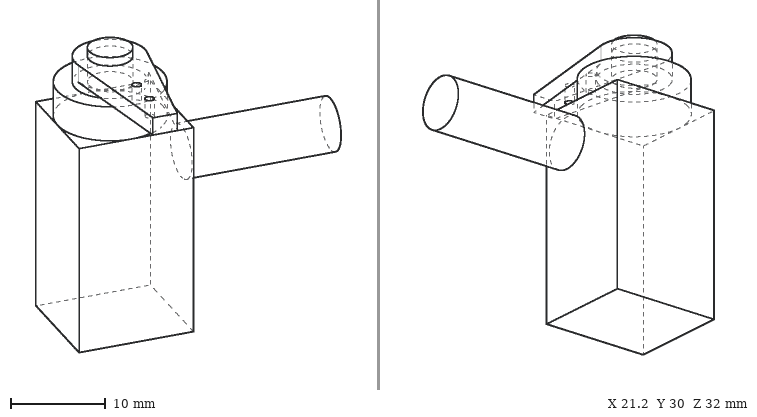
import cadquery as cq
import math

HOUSING_WIDTH = 12.0
HOUSING_DEPTH = 13.02
HOUSING_HEIGHT = 24.0

COLLAR_DIAMETER = HOUSING_WIDTH
COLLAR_HEIGHT = 4.0
COLLAR_TOP = HOUSING_HEIGHT + COLLAR_HEIGHT

SHAFT_DIAMETER = 4.8
TOTAL_HEIGHT = 32.0

MOTOR_DIAMETER = 6.0
MOTOR_LENGTH = 17.0
MOTOR_X = 2.55
MOTOR_Z = 19.65

HUB_DIAMETER = 8.0
HUB_HEIGHT = 3.0
HORN_TOP = COLLAR_TOP + HUB_HEIGHT
ARM_THICKNESS = 2.0
ARM_REACH = 15.23
ARM_TIP_WIDTH = 2.8
LINK_HOLE_DIAMETER = 1.0
LINK_HOLE_X = (7.35, 10.9)

FRONT_Y = -COLLAR_DIAMETER / 2
BACK_Y = FRONT_Y + HOUSING_DEPTH


def cylinder_up(diameter, bottom, top):
    """Vertical cylinder on the shaft axis."""
    return cq.Workplane("XY").workplane(offset=bottom).circle(diameter / 2).extrude(top - bottom)


def make_servo():
    """Housing, collar, output shaft and motor barrel as one solid."""
    housing = (
        cq.Workplane("XY")
        .center(0, (FRONT_Y + BACK_Y) / 2)
        .rect(HOUSING_WIDTH, HOUSING_DEPTH)
        .extrude(HOUSING_HEIGHT)
    )
    collar = cylinder_up(COLLAR_DIAMETER, HOUSING_HEIGHT, COLLAR_TOP)
    shaft = cylinder_up(SHAFT_DIAMETER, COLLAR_TOP, TOTAL_HEIGHT)
    motor = (
        cq.Workplane("XZ", origin=(MOTOR_X, BACK_Y, MOTOR_Z))
        .circle(MOTOR_DIAMETER / 2)
        .extrude(-MOTOR_LENGTH)
    )
    return housing.union(collar).union(shaft).union(motor)


def make_arm():
    """Tapered arm whose sides leave the hub circle tangentially."""
    hub_radius = HUB_DIAMETER / 2
    tip_half_width = ARM_TIP_WIDTH / 2
    tip_distance = math.hypot(ARM_REACH, tip_half_width)
    tangent_angle = math.atan2(tip_half_width, ARM_REACH) + math.acos(hub_radius / tip_distance)
    tangent_x = hub_radius * math.cos(tangent_angle)
    tangent_y = hub_radius * math.sin(tangent_angle)
    return (
        cq.Workplane("XY")
        .workplane(offset=HORN_TOP - ARM_THICKNESS)
        .moveTo(tangent_x, -tangent_y)
        .lineTo(ARM_REACH, -tip_half_width)
        .lineTo(ARM_REACH, tip_half_width)
        .lineTo(tangent_x, tangent_y)
        .threePointArc((-hub_radius, 0), (tangent_x, -tangent_y))
        .close()
        .extrude(ARM_THICKNESS)
    )


def make_horn():
    """Hub and arm, bored for the shaft and drilled with the linkage holes."""
    horn = cylinder_up(HUB_DIAMETER, COLLAR_TOP, HORN_TOP).union(make_arm())
    horn = horn.cut(cylinder_up(SHAFT_DIAMETER, COLLAR_TOP, HORN_TOP))
    for hole_x in LINK_HOLE_X:
        hole = cylinder_up(LINK_HOLE_DIAMETER, COLLAR_TOP, HORN_TOP).translate((hole_x, 0, 0))
        horn = horn.cut(hole)
    return horn


servo = make_servo()
horn = make_horn()
result = cq.Compound.makeCompound([servo.val(), horn.val()])